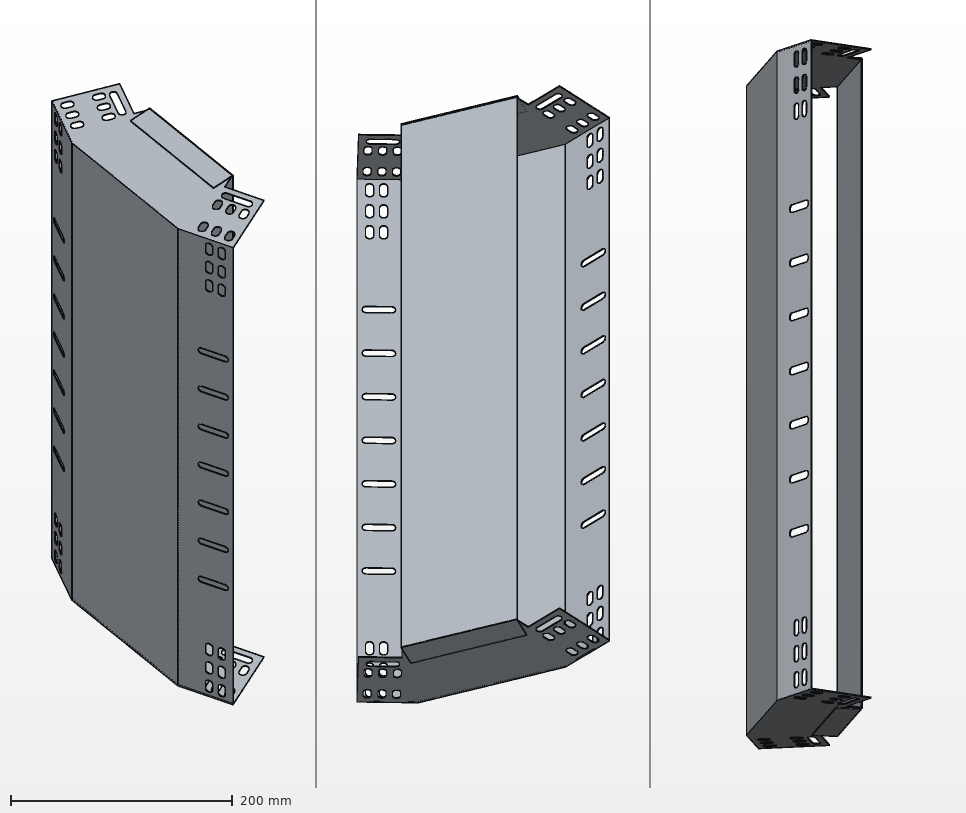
import cadquery as cq
import math

total_width = 245.0
total_depth = 81.5
total_height = 603.0
sheet = 1.0

front_width = 143.0
wing_angle = 22.7
flange_depth = 65.0
flange_edge_length = 39.0

lid_width = 112.0
lip_depth = 24.0
fold_radius = 1.5

slot_width = 7.0
long_slot_length = 30.0
long_slot_count = 7
long_slot_pitch = 50.0
wing_slot_length = 15.0
flange_slot_length = 12.0

wing_long_slot_inset = 20.0
wing_slot_insets = [11.5, 24.0]
wing_slot_end_gap = 13.0
wing_slot_row_pitch = 24.0
wing_slot_row_count = 3

flange_slot_inset = 9.0
flange_slot_pitch = 13.0
flange_slot_count = 3
flange_slot_depths = [12.0, 42.0]
flange_long_slot_inset = flange_slot_inset + flange_slot_pitch
flange_long_slot_depth = 55.5

angle = math.radians(wing_angle)
front_half = front_width / 2
wing_tip_x = total_width / 2
wing_tip_y = (wing_tip_x - front_half) * math.tan(angle)
tray_height = total_height - 2 * sheet
lid_inner_y = total_depth - sheet
tray_top = tray_height / 2
cut_length = 4 * sheet


def wing_point(inset, depth):
    """Plan position on the right wing: inset along it from its tip, depth square to its face."""
    x = wing_tip_x - inset * math.cos(angle) - depth * math.sin(angle)
    y = wing_tip_y - inset * math.sin(angle) + depth * math.cos(angle)
    return (x, y)


def symmetric_prism(right_points, bottom, height):
    """Vertical prism from the right half of its plan outline, mirrored about X = 0."""
    left_points = [(-x, y) for x, y in reversed(right_points)]
    outline = cq.Workplane("XY", origin=(0, 0, bottom)).polyline(right_points + left_points)
    return outline.close().extrude(height)


def make_front_sheet():
    inner_half = front_half - sheet * math.tan(angle / 2)
    right_points = [(front_half, 0), (wing_tip_x, wing_tip_y), wing_point(0, sheet), (inner_half, sheet)]
    return symmetric_prism(right_points, -tray_top, tray_height)


def make_flange(bottom):
    notch_corner = wing_point(flange_edge_length, flange_depth)
    tab_depth = flange_depth + (lid_inner_y - notch_corner[1]) / math.cos(angle)
    right_points = [
        (front_half, 0),
        (wing_tip_x, wing_tip_y),
        wing_point(0, flange_depth),
        notch_corner,
        wing_point(flange_edge_length, tab_depth),
    ]
    return symmetric_prism(right_points, bottom, sheet)


def slot_cutters(plane, places, length, turn):
    """Round-ended slots centred at the given places, turned by an angle in degrees."""
    slots = cq.Workplane(plane).pushPoints(places).slot2D(length, slot_width, turn)
    return slots.extrude(cut_length, both=True)


def wing_cutters():
    """Slots through the right wing: a column of long slots and a group of short ones at each end."""
    tip_plane = cq.Plane(
        origin=(wing_tip_x, wing_tip_y, 0),
        xDir=(-math.cos(angle), -math.sin(angle), 0),
        normal=(-math.sin(angle), math.cos(angle), 0),
    )
    middle = (long_slot_count - 1) / 2
    long_places = [(wing_long_slot_inset, (i - middle) * long_slot_pitch) for i in range(long_slot_count)]
    short_places = []
    for row in range(wing_slot_row_count):
        height = tray_top - wing_slot_end_gap - row * wing_slot_row_pitch
        for inset in wing_slot_insets:
            short_places += [(inset, height), (inset, -height)]
    return [
        slot_cutters(tip_plane, long_places, long_slot_length, 0),
        slot_cutters(tip_plane, short_places, wing_slot_length, 90),
    ]


def flange_cutters():
    """Slots through the right end of both flanges."""
    insets = [flange_slot_inset + i * flange_slot_pitch for i in range(flange_slot_count)]
    short_places = [wing_point(inset, depth) for inset in insets for depth in flange_slot_depths]
    long_place = wing_point(flange_long_slot_inset, flange_long_slot_depth)
    cutters = []
    for z in (-tray_top, tray_top):
        plane = cq.Plane(origin=(0, 0, z))
        cutters.append(slot_cutters(plane, short_places, flange_slot_length, 90 + wing_angle))
        cutters.append(slot_cutters(plane, [long_place], long_slot_length, wing_angle))
    return cutters


def make_tray():
    tray = make_front_sheet()
    for flange_bottom in (-tray_top, tray_top - sheet):
        tray = tray.union(make_flange(flange_bottom))
    for cutter in wing_cutters() + flange_cutters():
        tray = tray.cut(cutter).cut(cutter.mirror("YZ"))
    return tray


def make_lid():
    lid_front_y = total_depth - lip_depth
    block = cq.Workplane("XY").box(lid_width, lip_depth, total_height, centered=(True, False, True))
    block = block.edges(">Y and |X").fillet(fold_radius)
    inside = cq.Workplane("XY").box(lid_width, lip_depth - sheet, tray_height, centered=(True, False, True))
    return block.cut(inside).translate((0, lid_front_y, 0))


tray = make_tray()
lid = make_lid()

result = cq.Compound.makeCompound([tray.val(), lid.val()])